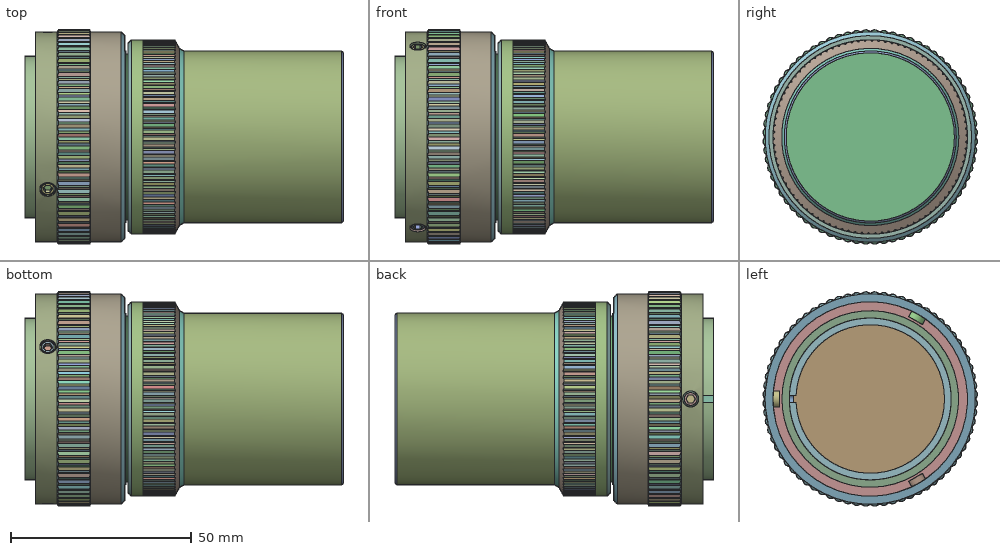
import cadquery as cq
import math

length = 88.5
outer_diameter = 59.6

cut_margin = 0.9

cup_outer_radius = 22.5
cup_inner_radius = 20.6
cup_depth = 5.05

ring_start = 2.9
ring_end = 27.8
ring_radius = 29.2
ring_chamfer = 1.1
cavity_radius = 27.0
cavity_depth = 19.5
sleeve_radius = 24.5
sleeve_start = 16.0

grip_start = 8.9
grip_end = 18.2
grip_front_bevel = 0.4
grip_back_bevel = 0.3
grip_teeth = 72
grip_pitch = 360.0 / grip_teeth
grip_crest_angle = 1.2
grip_root_radius = 29.3
grip_radius = outer_diameter / 2 / math.cos(math.radians((grip_pitch - grip_crest_angle) / 2))

step_radius = 23.8
step_end = 28.05
neck_radius = 23.1

collar_start = 28.6
collar_radius = 27.0
collar_front_chamfer = 1.0
collar_taper_start = 41.6
collar_taper_end = 42.9
collar_taper_radius = 24.6
collar_foot_end = 44.2
groove_start = 32.75
groove_count = 90
groove_pitch = 360.0 / groove_count
groove_first_angle = 1.0
groove_angle = 2.0
groove_depth = 0.4

tail_radius = 23.9
tail_chamfer = 0.5

screw_x = 6.4
screw_diameter = 4.4
screw_inner_radius = 25.1
screw_outer_radius = 28.85
screw_chamfer = 0.4
socket_across_corners = 2.6
socket_depth = 1.3
screw_angles = (0, 120, 240)

slot_width = 1.95
tab_radius = 21.3


def polar(radius, degrees):
    """Point in the YZ plane, with the angle measured from +Y toward +Z."""
    angle = math.radians(degrees)
    return radius * math.cos(angle), radius * math.sin(angle)


def disc(start, end, radius):
    """Solid cylinder along X."""
    return cq.Workplane("YZ").workplane(offset=start).circle(radius).extrude(end - start)


def radial_plane(degrees, radius):
    """Plane whose normal points outward at the given angle, centred on the screw position."""
    y, z = polar(radius, degrees)
    normal_y, normal_z = polar(1, degrees)
    return cq.Plane(origin=(screw_x, y, z), xDir=(1, 0, 0), normal=(0, normal_y, normal_z))


def make_body():
    """Turned body, with the annular cavity around the cup, without the grip band."""
    profile = [
        (0, 0),
        (0, cup_outer_radius),
        (sleeve_start, cup_outer_radius),
        (sleeve_start, sleeve_radius),
        (cavity_depth, sleeve_radius),
        (cavity_depth, cavity_radius),
        (ring_start, cavity_radius),
        (ring_start, ring_radius),
        (ring_end - ring_chamfer, ring_radius),
        (ring_end, ring_radius - ring_chamfer),
        (ring_end, step_radius),
        (step_end, step_radius),
        (step_end, neck_radius),
        (collar_start, neck_radius),
        (collar_start, collar_radius - collar_front_chamfer),
        (collar_start + collar_front_chamfer, collar_radius),
        (collar_taper_start, collar_radius),
        (collar_taper_end, collar_taper_radius),
        (collar_foot_end, tail_radius),
        (length - tail_chamfer, tail_radius),
        (length, tail_radius - tail_chamfer),
        (length, 0),
    ]
    return cq.Workplane("XY").polyline(profile).close().revolve(360, (0, 0, 0), (1, 0, 0))


def make_grip():
    """Toothed band with flat crests, V roots and bevelled ends."""
    outline = []
    for tooth in range(grip_teeth):
        root_angle = tooth * grip_pitch
        crest_angle = root_angle + grip_pitch / 2
        outline.append(polar(grip_root_radius, root_angle))
        outline.append(polar(grip_radius, crest_angle - grip_crest_angle / 2))
        outline.append(polar(grip_radius, crest_angle + grip_crest_angle / 2))
    teeth = cq.Workplane("YZ").workplane(offset=grip_start).polyline(outline).close()
    teeth = teeth.extrude(grip_end - grip_start)
    envelope = [
        (grip_start, cavity_radius),
        (grip_start, ring_radius),
        (grip_start + grip_front_bevel, grip_radius),
        (grip_end - grip_back_bevel, grip_radius),
        (grip_end, ring_radius),
        (grip_end, cavity_radius),
    ]
    band = cq.Workplane("XY").polyline(envelope).close().revolve(360, (0, 0, 0), (1, 0, 0))
    return teeth.intersect(band)


def make_collar_grooves():
    """Ring of V grooves running out of the tapered end of the collar."""
    outline = []
    for groove in range(groove_count):
        middle = groove_first_angle + groove * groove_pitch
        outline.append(polar(collar_radius, middle - groove_angle / 2))
        outline.append(polar(collar_radius - groove_depth, middle))
        outline.append(polar(collar_radius, middle + groove_angle / 2))
    start = cq.Workplane("YZ").workplane(offset=groove_start)
    groove_length = collar_taper_end - groove_start
    blank = start.circle(collar_radius + groove_depth).extrude(groove_length)
    return blank.cut(start.polyline(outline).close().extrude(groove_length))


def make_key_slot():
    """Round-ended slot through the +Y side of the cup wall, part filled by a tab on the cup floor."""
    wall_y = cup_outer_radius + cut_margin
    slot = (
        cq.Workplane("XZ", origin=(0, wall_y, 0))
        .moveTo(0, -slot_width / 2)
        .lineTo(cup_depth, -slot_width / 2)
        .threePointArc((cup_depth + slot_width / 2, 0), (cup_depth, slot_width / 2))
        .lineTo(0, slot_width / 2)
        .close()
        .extrude(wall_y - cup_inner_radius + cut_margin)
    )
    return slot.cut(disc(cup_depth, cup_depth + slot_width, tab_radius))


def make_screw_hole(degrees):
    """Radial hole through the coupling ring for one screw."""
    return (
        cq.Workplane(radial_plane(degrees, screw_inner_radius))
        .circle(screw_diameter / 2)
        .extrude(ring_radius - screw_inner_radius + cut_margin)
    )


def make_screw(degrees):
    """Cylindrical screw with a chamfered outer end and a hexagon socket."""
    outward = cq.Vector(0, *polar(1, degrees))
    screw = (
        cq.Workplane(radial_plane(degrees, screw_inner_radius))
        .circle(screw_diameter / 2)
        .extrude(screw_outer_radius - screw_inner_radius)
        .faces(cq.DirectionMinMaxSelector(outward))
        .chamfer(screw_chamfer)
    )
    socket = (
        cq.Workplane(radial_plane(degrees, screw_outer_radius))
        .polygon(6, socket_across_corners)
        .extrude(-socket_depth)
    )
    return screw.cut(socket)


result = make_body().cut(make_collar_grooves())
result = result.union(make_grip())
result = result.cut(disc(0, cup_depth, cup_inner_radius)).cut(make_key_slot())
for angle in screw_angles:
    result = result.cut(make_screw_hole(angle)).union(make_screw(angle))